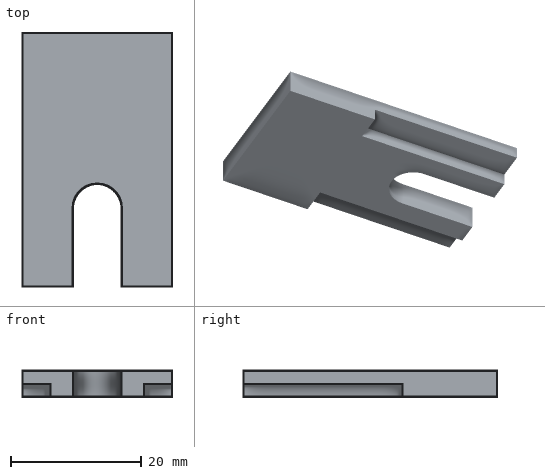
import cadquery as cq

width = 23.0
length = 39.0
thickness = 4.0

slot_width = 7.5
slot_depth = 15.8

rebate_width = 4.3
rebate_length = 24.45
rebate_height = thickness / 2

front_y = -length / 2


def make_plate():
    return cq.Workplane("XY").box(width, length, thickness, centered=(True, True, False))


def make_slot():
    radius = slot_width / 2
    arc_start_y = front_y + slot_depth - radius
    return (
        cq.Workplane("XY")
        .moveTo(-radius, front_y)
        .lineTo(-radius, arc_start_y)
        .threePointArc((0, front_y + slot_depth), (radius, arc_start_y))
        .lineTo(radius, front_y)
        .close()
        .extrude(thickness)
    )


def make_rebate(side):
    center_x = side * (width - rebate_width) / 2
    return (
        cq.Workplane("XY")
        .box(rebate_width, rebate_length, rebate_height, centered=(True, False, False))
        .translate((center_x, front_y, 0))
    )


result = make_plate().cut(make_slot())
for side in (-1, 1):
    result = result.cut(make_rebate(side))